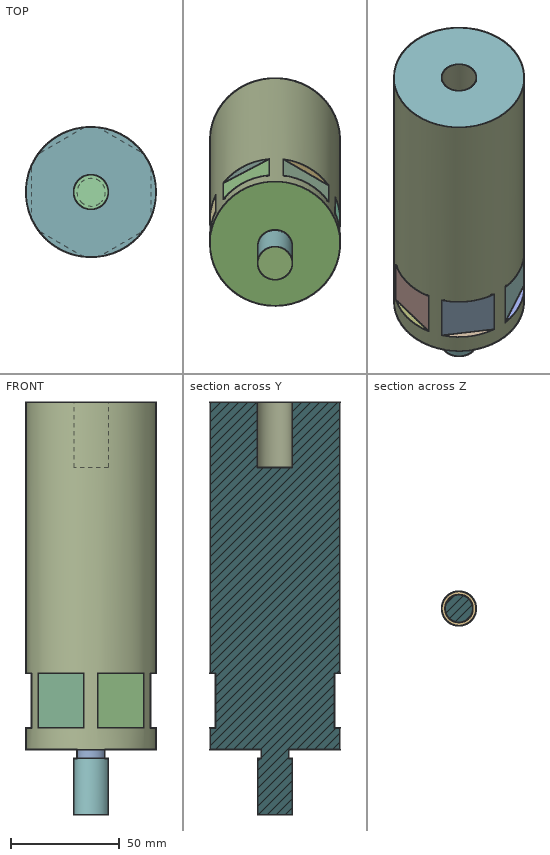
import cadquery as cq

total_length = 190.0
body_diameter = 60.0

stud_length = 30.0
stud_diameter = 16.0
neck_length = 4.0
neck_diameter = 13.0

flat_count = 6
across_flats = 55.0
collar_height = 10.0
flat_height = 25.0

hole_diameter = stud_diameter
hole_depth = stud_length

body_length = total_length - stud_length


def make_body():
    return cq.Workplane("XY").circle(body_diameter / 2).extrude(body_length)


def make_stud():
    neck = cq.Workplane("XY").circle(neck_diameter / 2).extrude(-neck_length)
    shank = (
        cq.Workplane("XY", origin=(0, 0, -neck_length))
        .circle(stud_diameter / 2)
        .extrude(neck_length - stud_length)
    )
    return neck.union(shank)


def cut_wrench_flats(body):
    cutter = (
        cq.Workplane("XY")
        .box(body_diameter, body_diameter, flat_height, centered=(False, True, False))
        .translate((across_flats / 2, 0, collar_height))
    )
    for index in range(flat_count):
        angle = index * 360 / flat_count
        body = body.cut(cutter.rotate((0, 0, 0), (0, 0, 1), angle))
    return body


def cut_top_hole(body):
    return body.faces(">Z").workplane().hole(hole_diameter, hole_depth)


result = cut_wrench_flats(cut_top_hole(make_body())).union(make_stud())